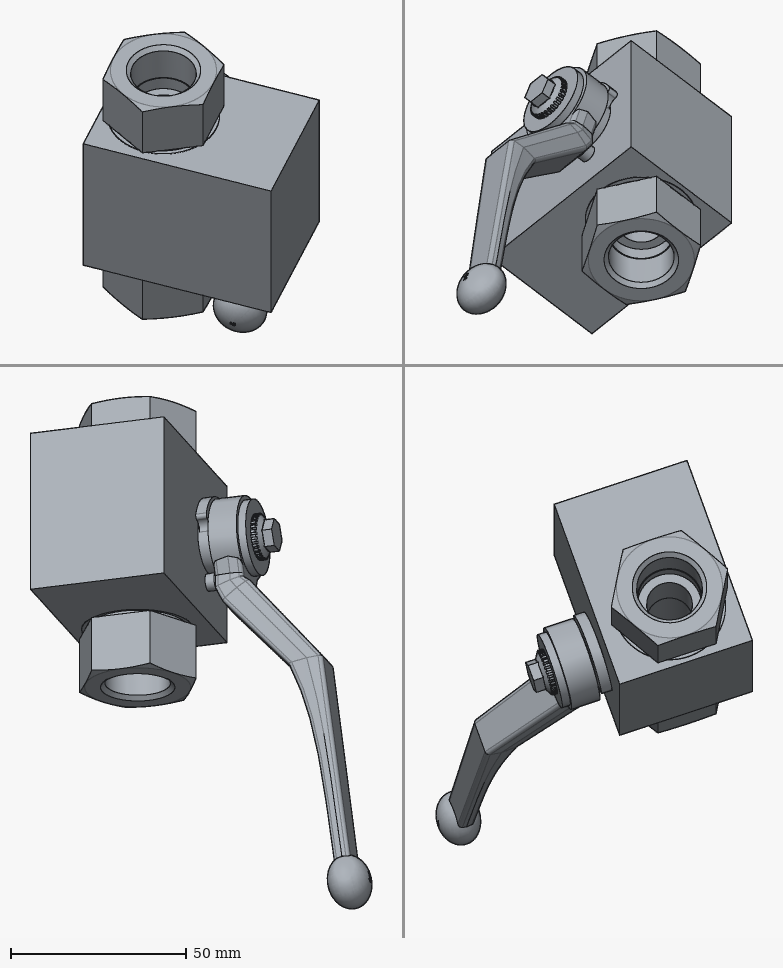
import cadquery as cq
import math


BLOCK_LENGTH = 57.0
BLOCK_DEPTH = 40.0
BLOCK_HEIGHT = 47.8
BORE_TO_LEFT = 17.4
BORE_TO_FRONT = 19.0
FLOW_DIAMETER = 13.0
BLOCK_BACK = BLOCK_DEPTH - BORE_TO_FRONT
BLOCK_TOP = BLOCK_HEIGHT / 2

HEX_FLATS = 30.4
HEX_TOP_DIAMETER = 30.2
HEX_CHAMFER_ANGLE = 15.0
NECK_DIAMETER = 29.0
NECK_GAP = 0.8
FITTING_HEIGHT = 17.5
SPIGOT_DEPTH = 12.7
PORT_DIAMETER = 18.7
PORT_DEPTH = 11.7
RUNOUT_DIAMETER = 18.2
RUNOUT_DEPTH = 15.8
PORT_MOUTH = 21.2
SPOTFACE_DIAMETER = 32.0
SPOTFACE_DEPTH = 0.3

PIN_DIAMETER = 5.0
PIN_OFFSET = 12.0
PIN_END_CHAMFER = 1.0

COLLAR_DIAMETER = 26.0
COLLAR_CORE = 18.0
COLLAR_CLEARANCE = 0.5
COLLAR_END = BLOCK_BACK + 3.6
NOTCH_END_RADIUS = 2.9
NOTCH_LIP_RADIUS = 1.1
HUB_DIAMETER = 24.5
HUB_START = COLLAR_END + COLLAR_CLEARANCE
HUB_END = HUB_START + 8.5
CAP_DIAMETER = 22.0
CAP_END = HUB_END + 2.4
WASHER_DIAMETER = 13.5
WASHER_END = CAP_END + 1.5
SERRATION_COUNT = 30
SERRATION_WIDTH = 0.6
SERRATION_DEPTH = 0.5
CONE_SMALL_DIAMETER = 8.9
CONE_END = WASHER_END + 1.5
HEAD_FLATS = 8.2
HEAD_END = CAP_END + 5.7

ROOT_Z = -4.8
FLARE_Z = -12.8
ROOT_HALF_WIDTH = 10.6
FLARE_HALF_WIDTH = 7.0
BEND_BACK = (HUB_END, -13.8)
BEND_FRONT = (HUB_START, -16.3)
ELBOW_BACK = (35.5, -15.0)
ELBOW_FRONT = (27.4, -20.6)
ELBOW_HALF_WIDTH = 6.8
KNEE_BACK = (57.2, -40.7)
KNEE_HALF_WIDTH = 6.0
GRIP_TILT = 7.3
GRIP_THICKNESS = 4.9
GRIP_HALF_WIDTH = 5.0
GRIP_SWELL = 5.4
SWELL_POWER = 4
GRIP_LENGTH = 65.0
GRIP_STEPS = 6
SIDE_DRAFT = 0.5
RIDGE_SHARE = 0.43
EDGE_ROUND = 1.3

OVERALL_HEIGHT = 158.4
BALL_RADIUS = 15.7 / 2
BALL_HALF_THICKNESS = 12.4 / 2
BALL_CENTRE_Y = 63.7
BALL_DROP = math.hypot(
    BALL_RADIUS * math.cos(math.radians(GRIP_TILT)),
    BALL_HALF_THICKNESS * math.sin(math.radians(GRIP_TILT)),
)
BALL_CENTRE_Z = BLOCK_TOP + FITTING_HEIGHT - OVERALL_HEIGHT + BALL_DROP


def cylinder(diameter, y_start, y_end):
    """Solid cylinder about the lever axis between two Y positions."""
    return disc_at(0, 0, diameter, y_start, y_end)


def disc_at(x, z, diameter, y_start, y_end):
    """Solid cylinder parallel to Y, centred at (x, z)."""
    plane = cq.Workplane("XZ", origin=(x, y_start, z))
    return plane.circle(diameter / 2).extrude(y_start - y_end)


def make_housing():
    block = cq.Workplane("XY").box(BLOCK_LENGTH, BLOCK_DEPTH, BLOCK_HEIGHT, centered=(False, False, True))
    block = block.translate((-BORE_TO_LEFT, -BORE_TO_FRONT, 0))
    block = block.cut(cq.Workplane("XY").circle(FLOW_DIAMETER / 2).extrude(BLOCK_TOP, both=True))
    for side in (1, -1):
        block = block.cut(fitting_socket(side))
    pin = disc_at(0, -PIN_OFFSET, PIN_DIAMETER, BLOCK_BACK, COLLAR_END)
    pin = pin.faces(">Y").chamfer(PIN_END_CHAMFER)
    return block.union(pin)


def fitting_socket(side):
    """Spigot hole with a shallow spotface, in the top (1) or bottom (-1) face."""
    spigot = NECK_DIAMETER / 2
    spotface = SPOTFACE_DIAMETER / 2
    ledge = BLOCK_TOP - SPOTFACE_DEPTH
    floor = BLOCK_TOP - SPIGOT_DEPTH
    outline = [
        (0, floor),
        (spigot, floor),
        (spigot, ledge),
        (spotface, ledge),
        (spotface, BLOCK_TOP),
        (0, BLOCK_TOP),
    ]
    return revolve_about_bore(outline, side)


def revolve_about_bore(outline, side):
    """Turn a (radius, Z) outline about the bore, mirrored to the bottom when side is -1."""
    solid = cq.Workplane("XZ").polyline(outline).close().revolve(360, (0, 0), (0, 1))
    if side < 0:
        solid = solid.mirror("XY")
    return solid


def make_fitting(side):
    """Hexagon on a round neck, with a stepped bore, on the top (1) or bottom (-1) face."""
    end = BLOCK_TOP + FITTING_HEIGHT
    corner_diameter = HEX_FLATS / math.cos(math.pi / 6)
    hexagon = (
        cq.Workplane("XY", origin=(0, 0, BLOCK_TOP + NECK_GAP))
        .transformed(rotate=(0, 0, 90))
        .polygon(6, corner_diameter)
        .extrude(FITTING_HEIGHT - NECK_GAP)
    )
    if side < 0:
        hexagon = hexagon.mirror("XY")

    flat = HEX_TOP_DIAMETER / 2
    rim = corner_diameter / 2
    drop = (rim - flat) * math.tan(math.radians(HEX_CHAMFER_ANGLE))
    envelope = [(0, BLOCK_TOP), (rim, BLOCK_TOP), (rim, end - drop), (flat, end), (0, end)]
    head = hexagon.intersect(revolve_about_bore(envelope, side))

    neck_radius = NECK_DIAMETER / 2
    floor = BLOCK_TOP - SPIGOT_DEPTH
    joint = BLOCK_TOP + NECK_GAP
    neck = [(0, floor), (neck_radius, floor), (neck_radius, joint), (0, joint)]

    port = PORT_DIAMETER / 2
    mouth = PORT_MOUTH / 2
    runout = RUNOUT_DIAMETER / 2
    flow = FLOW_DIAMETER / 2
    bore = [
        (0, floor),
        (flow, floor),
        (flow, end - RUNOUT_DEPTH),
        (runout, end - RUNOUT_DEPTH),
        (runout, end - PORT_DEPTH),
        (port, end - PORT_DEPTH),
        (port, end - (mouth - port)),
        (mouth, end),
        (0, end),
    ]
    return head.union(revolve_about_bore(neck, side)).cut(revolve_about_bore(bore, side))


def make_collar():
    """Stop collar with a half-round notch in which the stop pin travels."""
    start = BLOCK_BACK + COLLAR_CLEARANCE
    collar = cylinder(COLLAR_DIAMETER, start, COLLAR_END)
    core = cylinder(COLLAR_CORE, BLOCK_BACK, HUB_START)
    lower_half = cq.Workplane("XY").box(
        2 * COLLAR_DIAMETER, 2 * COLLAR_END, COLLAR_DIAMETER, centered=(True, True, False)
    ).translate((0, 0, -COLLAR_DIAMETER))
    collar = collar.cut(lower_half)
    notch_centre = COLLAR_CORE / 2 + NOTCH_END_RADIUS
    for side in (1, -1):
        collar = collar.cut(disc_at(side * notch_centre, 0, 2 * NOTCH_END_RADIUS, start, COLLAR_END))
    lips = cq.selectors.BoxSelector(
        (-COLLAR_DIAMETER, BLOCK_BACK, NOTCH_END_RADIUS / 2),
        (COLLAR_DIAMETER, COLLAR_END, NOTCH_END_RADIUS + NOTCH_LIP_RADIUS),
    )
    collar = collar.edges("|Y").edges(lips).fillet(NOTCH_LIP_RADIUS)
    return collar.union(core)


def make_hub():
    """Hub, cover cap, conical washer and hexagon head, stacked along the lever axis."""
    hub = cylinder(HUB_DIAMETER, HUB_START, HUB_END)
    hub = hub.union(cylinder(CAP_DIAMETER, HUB_END, CAP_END))
    head = (
        cq.Workplane("XZ", origin=(0, CAP_END, 0))
        .polygon(6, HEAD_FLATS / math.cos(math.pi / 6))
        .extrude(CAP_END - HEAD_END)
    )
    return hub.union(make_washer()).union(head)


def make_washer():
    """Conical lock washer with serrations around its rim."""
    rim = cylinder(WASHER_DIAMETER, CAP_END, WASHER_END)
    cone = cq.Solid.makeCone(
        WASHER_DIAMETER / 2,
        CONE_SMALL_DIAMETER / 2,
        CONE_END - WASHER_END,
        cq.Vector(0, WASHER_END, 0),
        cq.Vector(0, 1, 0),
    )
    serrations = (
        cq.Workplane("XZ", origin=(0, CAP_END, 0))
        .polarArray(WASHER_DIAMETER / 2, 0, 360, SERRATION_COUNT)
        .rect(2 * SERRATION_DEPTH, SERRATION_WIDTH)
        .extrude(CAP_END - CONE_END)
    )
    return rim.union(cone).cut(serrations)


def arm_section(back, front, half_width):
    """Closed six-sided wire across the arm, ridged at both sides and rounded at its four edges."""
    flat = half_width - SIDE_DRAFT
    ridge = (
        back[0] + RIDGE_SHARE * (front[0] - back[0]),
        back[1] + RIDGE_SHARE * (front[1] - back[1]),
    )
    corners = [
        (flat, back),
        (half_width, ridge),
        (flat, front),
        (-flat, front),
        (-half_width, ridge),
        (-flat, back),
    ]
    wire = cq.Wire.makePolygon([cq.Vector(x, y, z) for x, (y, z) in corners], close=True)
    edge_corners = [corner for corner in wire.Vertices() if abs(corner.X) < half_width - SIDE_DRAFT / 2]
    return wire.fillet2D(EDGE_ROUND, edge_corners)


def grip_section(distance):
    """Section of the lower arm at a distance below the knee, measured along its back."""
    tilt = math.radians(GRIP_TILT)
    back = (
        KNEE_BACK[0] + distance * math.sin(tilt),
        KNEE_BACK[1] - distance * math.cos(tilt),
    )
    share = distance / GRIP_LENGTH
    thickness = GRIP_THICKNESS + GRIP_SWELL * (1 - share) ** SWELL_POWER
    front = (back[0] - thickness * math.cos(tilt), back[1] - thickness * math.sin(tilt))
    half_width = KNEE_HALF_WIDTH + (GRIP_HALF_WIDTH - KNEE_HALF_WIDTH) * share
    return arm_section(back, front, half_width)


def make_arm():
    """Straight-sided crank from the hub to the knee, then a smoothly thinning grip."""
    crank_sections = [
        arm_section((HUB_END, ROOT_Z), (HUB_START, ROOT_Z), ROOT_HALF_WIDTH),
        arm_section((HUB_END, FLARE_Z), (HUB_START, FLARE_Z), FLARE_HALF_WIDTH),
        arm_section(BEND_BACK, BEND_FRONT, FLARE_HALF_WIDTH),
        arm_section(ELBOW_BACK, ELBOW_FRONT, ELBOW_HALF_WIDTH),
        grip_section(0),
    ]
    grip_sections = [grip_section(GRIP_LENGTH * step / GRIP_STEPS) for step in range(GRIP_STEPS + 1)]
    crank = cq.Solid.makeLoft(crank_sections, True)
    grip = cq.Solid.makeLoft(grip_sections, False)
    return cq.Workplane(crank).union(cq.Workplane(grip))


def make_ball():
    half_outline = (
        cq.Workplane("XY")
        .moveTo(0, -BALL_HALF_THICKNESS)
        .ellipseArc(BALL_RADIUS, BALL_HALF_THICKNESS, -90, 90, startAtCurrent=True)
        .close()
    )
    ball = half_outline.revolve(360, (0, 0), (0, 1))
    return ball.rotate((0, 0, 0), (1, 0, 0), GRIP_TILT).translate((0, BALL_CENTRE_Y, BALL_CENTRE_Z))


def make_lever():
    return make_collar().union(make_hub()).union(make_arm()).union(make_ball())


housing = make_housing()
fittings = [make_fitting(side) for side in (1, -1)]
lever = make_lever()

result = cq.Compound.makeCompound(
    [housing.val(), *[fitting.val() for fitting in fittings], lever.val()]
)